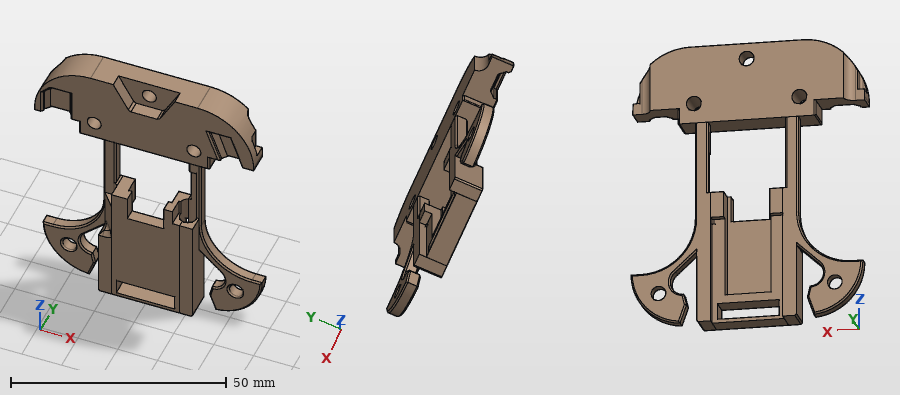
import cadquery as cq
import math

HALF_WIDTH = 27.5
TOTAL_HEIGHT = 67.3
CORNER_RADIUS = 14.05
CORNER_X = HALF_WIDTH - CORNER_RADIUS
EDGE_CHAMFER = 0.4
OVERCUT = 1.35
PICK_MARGIN = 0.1

HEAD_DEPTH = 7.95
HEAD_CORNER_Z = TOTAL_HEIGHT - CORNER_RADIUS
HEAD_SIDE_BOTTOM = 52.4
TAB_HALF_WIDTH = 16.35
UNDERSIDE_BEVEL = 0.3
TAB_BOTTOM = 48.65
TAB_CORNER_RISE = 0.4
TAB_CORNER_RUN = 0.2
SCREW_DIAMETER = 3.5
SCREW_SPOTS = [(0, 63.6), (-12.5, 53.4), (12.5, 53.4)]

NOTCH_TOP_HALF = 7.75
NOTCH_SIDE_HALF = 4.0
NOTCH_FLOOR_HALF = 3.3
NOTCH_FLOOR_Z = 60.2
NOTCH_CORNER_RISE = 0.4
NOTCH_DEPTH = 3.2

SCOOP_X = 22.95
SCOOP_DEPTH = 2.4
SCOOP_FILLET = SCOOP_DEPTH
SLOT_X = 25.8
SLOT_FLOOR_Z = 55.1
SLOT_FRONT = 5.5
SLOT_FILLET = 0.7

RECESS_TOP = 60.8
RECESS_WAIST_TOP = 60.4
RECESS_FLOOR_TOP = 59.5
RECESS_LIP = 0.5
RECESS_STEP_DEPTH = 1.1
RECESS_DEPTH = 2.3
RECESS_BOTTOM = HEAD_SIDE_BOTTOM
LEFT_MOUTH = [(-18.1, RECESS_BOTTOM), (-18.1, RECESS_TOP), (-23.7, RECESS_TOP),
              (-26.0, 58.45), (-26.0, RECESS_BOTTOM)]
LEFT_WAIST = [(-18.5, RECESS_BOTTOM), (-18.5, RECESS_WAIST_TOP), (-23.5, RECESS_WAIST_TOP),
              (-25.5, 58.3), (-25.5, RECESS_BOTTOM)]
LEFT_FLOOR = [(-19.6, RECESS_BOTTOM), (-19.6, RECESS_FLOOR_TOP), (-22.9, RECESS_FLOOR_TOP),
              (-24.4, 58.05), (-24.4, RECESS_BOTTOM)]
RIGHT_MOUTH = [(18.65, RECESS_BOTTOM), (15.55, RECESS_TOP), (21.8, RECESS_TOP), (24.8, RECESS_BOTTOM)]
RIGHT_WAIST = [(19.05, RECESS_BOTTOM), (16.1, RECESS_WAIST_TOP), (21.5, RECESS_WAIST_TOP), (24.4, RECESS_BOTTOM)]
RIGHT_FLOOR = [(20.05, RECESS_BOTTOM), (17.6, RECESS_FLOOR_TOP), (20.7, RECESS_FLOOR_TOP),
               (23.2, RECESS_BOTTOM)]

ARM_DEPTH = 3.1
RAIL_OUTER_X = 12.25
RAIL_INNER_X = 9.15
BEND_RADIUS = 12.7
BEND_Z = 25.3
BEND_X = RAIL_OUTER_X + BEND_RADIUS
WING_TOP = BEND_Z - BEND_RADIUS
WING_RADIUS = WING_TOP
WING_CENTER_X = HALF_WIDTH - WING_RADIUS
WING_FOOT_X = 15.9
WING_TOE = (14.3, 4.4)
HOOK_RADIUS = 3.1
HOOK_CENTER = (15.1, 10.15)
HOOK_START = (15.0, 7.05)
HOOK_END = (16.9, 12.65)
BRACE_END = (10.1, 18.85)
WING_HOLE_DIAMETER = 3.4
WING_HOLE_SPOT = (20.9, 7.55)
FUNNEL_DIAMETER = 4.2
FUNNEL_DEPTH = 0.7

BLOCK_FRONT = 7.05
STRIP_OUTER_X = 11.85
STRIP_INNER_X = 8.55
SHOULDER_Z = 27.65
TOWER_TOP = 31.4
STRIP_FILLET = 1.0
BEVEL_FLOOR_Z = 18.5
BEVEL_FILLET = 1.1
BEVEL_LIP = 1.0

CHANNEL_RADIUS = 2.0
CHANNEL_CENTER_DEPTH = 3.5
CHANNEL_BOTTOM = 24.2
CHANNEL_X = 9.2
CHANNEL_TOP = 41.6

BLOCK_PLATE = 5.25
BLOCK_BACK = BLOCK_FRONT - BLOCK_PLATE
GAP_HALF = 4.6
GAP_FLOOR_Z = 25.3
GAP_WEB = 2.9
CAVITY_HALF = 5.45
CAVITY_BOTTOM = 6.7
RIGHT_TOWER_X = 6.7
WINDOW_HALF = 7.3
WINDOW_BOTTOM = 0.9
WINDOW_TOP = 4.7


def box(x0, x1, depth0, depth1, z0, z1):
    """Box between two X values, two depths in front of the back plane and two heights."""
    return cq.Workplane("XY").box(x1 - x0, depth1 - depth0, z1 - z0, centered=False).translate(
        (x0, -depth1, z0)
    )


def at_depth(depth):
    """XZ workplane that lies `depth` in front of the back plane and faces the front."""
    return cq.Workplane("XZ", origin=(0, -depth, 0))


def mirrored(shape):
    return shape.mirror("YZ")


def head_blank():
    mid = CORNER_RADIUS * math.sqrt(0.5)
    outline = (
        at_depth(0)
        .moveTo(-CORNER_X, TOTAL_HEIGHT)
        .lineTo(CORNER_X, TOTAL_HEIGHT)
        .threePointArc((CORNER_X + mid, HEAD_CORNER_Z + mid), (HALF_WIDTH, HEAD_CORNER_Z))
        .lineTo(HALF_WIDTH, HEAD_SIDE_BOTTOM)
        .lineTo(-HALF_WIDTH, HEAD_SIDE_BOTTOM)
        .lineTo(-HALF_WIDTH, HEAD_CORNER_Z)
        .threePointArc((-CORNER_X - mid, HEAD_CORNER_Z + mid), (-CORNER_X, TOTAL_HEIGHT))
        .close()
    )
    return outline.extrude(HEAD_DEPTH)


def head_tab():
    tab = box(-TAB_HALF_WIDTH, TAB_HALF_WIDTH, 0, HEAD_DEPTH, TAB_BOTTOM, HEAD_SIDE_BOTTOM + OVERCUT)
    tab = tab.faces("<Y").edges("<Z or |Z").chamfer(EDGE_CHAMFER)
    tab = tab.faces(">Y").edges("|Z").chamfer(EDGE_CHAMFER)
    return tab.faces("<Z").edges("<X or >X").chamfer(TAB_CORNER_RISE, TAB_CORNER_RUN)


def top_notch():
    corner_z = NOTCH_FLOOR_Z + NOTCH_CORNER_RISE
    right_side = [(NOTCH_FLOOR_HALF, NOTCH_FLOOR_Z), (NOTCH_SIDE_HALF, corner_z), (NOTCH_TOP_HALF, TOTAL_HEIGHT)]
    left_side = [(-x, z) for x, z in reversed(right_side)]
    return at_depth(HEAD_DEPTH - NOTCH_DEPTH).polyline(right_side + left_side).close().extrude(NOTCH_DEPTH)


def finger_scoop():
    scoop = box(SCOOP_X, HALF_WIDTH + OVERCUT, -OVERCUT, SCOOP_DEPTH, TAB_BOTTOM, TOTAL_HEIGHT)
    return scoop.edges("|Z and <X and <Y").fillet(SCOOP_FILLET)


def side_slot():
    slot = box(SLOT_X, HALF_WIDTH + OVERCUT, 0, SLOT_FRONT, SLOT_FLOOR_Z, TOTAL_HEIGHT)
    return slot.edges("|Z and <X and <Y").fillet(SLOT_FILLET)


def tapered_cut(back_outline, back_depth, front_outline, front_depth):
    return (
        at_depth(back_depth)
        .polyline(back_outline)
        .close()
        .workplane(offset=front_depth - back_depth)
        .polyline(front_outline)
        .close()
        .loft(ruled=True)
    )


def front_recess(mouth, waist, floor):
    """Flared mouth, a short straight wall, then sloped walls down to the floor."""
    lip = HEAD_DEPTH - RECESS_LIP
    step = HEAD_DEPTH - RECESS_STEP_DEPTH
    flare = tapered_cut(waist, lip, mouth, HEAD_DEPTH)
    straight = tapered_cut(waist, step, waist, lip)
    sloped = tapered_cut(floor, HEAD_DEPTH - RECESS_DEPTH, waist, step)
    return flare.union(straight).union(sloped)


def bevel_underside(head):
    """Bevel the lower edges of the recess floors and of the front beside the tab."""
    reach = abs(LEFT_FLOOR[-1][0])
    deepest = HEAD_DEPTH - RECESS_DEPTH
    for x0, x1 in ((-reach, -TAB_HALF_WIDTH), (TAB_HALF_WIDTH, reach)):
        under = cq.selectors.BoxSelector(
            (x0, -HEAD_DEPTH - OVERCUT, HEAD_SIDE_BOTTOM - PICK_MARGIN),
            (x1, -deepest + PICK_MARGIN, HEAD_SIDE_BOTTOM + PICK_MARGIN),
        )
        head = head.edges("|X").edges(under).chamfer(UNDERSIDE_BEVEL)
    return head


def make_head():
    head = head_blank().union(head_tab())
    head = head.cut(top_notch())
    head = head.cut(at_depth(0).pushPoints(SCREW_SPOTS).circle(SCREW_DIAMETER / 2).extrude(HEAD_DEPTH))
    for corner_cut in (finger_scoop(), side_slot()):
        head = head.cut(corner_cut).cut(mirrored(corner_cut))
    head = head.cut(front_recess(LEFT_MOUTH, LEFT_WAIST, LEFT_FLOOR))
    head = head.cut(front_recess(RIGHT_MOUTH, RIGHT_WAIST, RIGHT_FLOOR))
    return bevel_underside(head)


def arm_blank():
    mid = math.sqrt(0.5)
    foot_z = WING_RADIUS - math.sqrt(WING_RADIUS**2 - (WING_FOOT_X - WING_CENTER_X) ** 2)
    rail_end = TAB_BOTTOM + OVERCUT
    outline = (
        at_depth(0)
        .moveTo(RAIL_INNER_X, rail_end)
        .lineTo(RAIL_OUTER_X, rail_end)
        .lineTo(RAIL_OUTER_X, BEND_Z)
        .threePointArc((BEND_X - BEND_RADIUS * mid, BEND_Z - BEND_RADIUS * mid), (BEND_X, WING_TOP))
        .lineTo(HALF_WIDTH, WING_TOP)
        .threePointArc(
            (WING_CENTER_X + WING_RADIUS * mid, WING_RADIUS * (1 - mid)), (WING_FOOT_X, foot_z)
        )
        .lineTo(*WING_TOE)
        .lineTo(*HOOK_START)
        .threePointArc((HOOK_CENTER[0] + HOOK_RADIUS, HOOK_CENTER[1]), HOOK_END)
        .lineTo(*BRACE_END)
        .lineTo(RAIL_INNER_X, BRACE_END[1])
        .close()
    )
    arm = outline.extrude(ARM_DEPTH).faces("<Y or >Y").chamfer(EDGE_CHAMFER)
    above_head_joint = box(0, HALF_WIDTH, 0, ARM_DEPTH, TAB_BOTTOM, rail_end)
    return arm.cut(above_head_joint)


def wing_hole():
    """Through hole whose front mouth widens upward into a funnel."""
    x, z = WING_HOLE_SPOT
    hole = at_depth(0).center(x, z).circle(WING_HOLE_DIAMETER / 2).extrude(ARM_DEPTH)
    rise = (FUNNEL_DIAMETER - WING_HOLE_DIAMETER) / 2
    funnel = (
        at_depth(ARM_DEPTH - FUNNEL_DEPTH)
        .center(x, z)
        .circle(WING_HOLE_DIAMETER / 2)
        .workplane(offset=FUNNEL_DEPTH)
        .center(0, rise)
        .circle(FUNNEL_DIAMETER / 2)
        .loft()
    )
    return hole.union(funnel)


def side_strip():
    strip = box(STRIP_INNER_X, STRIP_OUTER_X, 0, BLOCK_FRONT, 0, SHOULDER_Z)
    strip = strip.edges("|Y and >X and <Z").chamfer(EDGE_CHAMFER)
    return strip.union(box(STRIP_INNER_X, STRIP_OUTER_X, 0, ARM_DEPTH, SHOULDER_Z, TOWER_TOP))


def plain_arm():
    return arm_blank().union(side_strip(), clean=False).cut(wing_hole())


def tower_cove():
    """Concave corner piece between the front of the left rail and the side of its tower."""
    cove = box(STRIP_INNER_X, STRIP_INNER_X + STRIP_FILLET, ARM_DEPTH, ARM_DEPTH + STRIP_FILLET,
               SHOULDER_Z, TOWER_TOP)
    hollow = (
        cq.Workplane("XY", origin=(STRIP_INNER_X + STRIP_FILLET, -ARM_DEPTH - STRIP_FILLET, SHOULDER_Z))
        .circle(STRIP_FILLET)
        .extrude(TOWER_TOP - SHOULDER_Z)
    )
    return cove.cut(hollow)


def strip_bevel():
    """Slanting cut across the front corner of the left strip, with a rounded lower end."""
    run = STRIP_OUTER_X - STRIP_INNER_X
    rise = BLOCK_FRONT - ARM_DEPTH
    cutter = (
        cq.Workplane("XY", origin=(0, 0, BEVEL_FLOOR_Z))
        .moveTo(STRIP_INNER_X - run, -BLOCK_FRONT - rise)
        .lineTo(STRIP_OUTER_X + run, -ARM_DEPTH + rise)
        .lineTo(STRIP_OUTER_X + run, -BLOCK_FRONT - rise)
        .close()
        .extrude(SHOULDER_Z - BEVEL_FLOOR_Z)
    )
    slant_middle = (STRIP_INNER_X + run / 2, -ARM_DEPTH - rise / 2, BEVEL_FLOOR_Z)
    lower_edge = cq.selectors.NearestToPointSelector(slant_middle)
    cutter = cutter.edges(lower_edge).fillet(BEVEL_FILLET)
    own_strip = box(STRIP_INNER_X, HALF_WIDTH, ARM_DEPTH, BLOCK_FRONT, BEVEL_FLOOR_Z, SHOULDER_Z)
    return cutter.intersect(own_strip)


def channel():
    return (
        cq.Workplane("XY", origin=(CHANNEL_X, -CHANNEL_CENTER_DEPTH, CHANNEL_BOTTOM))
        .circle(CHANNEL_RADIUS)
        .extrude(CHANNEL_TOP - CHANNEL_BOTTOM)
    )


def make_left_arm():
    """Built on the +X side like its twin, then mirrored to the left."""
    arm = plain_arm().union(tower_cove(), clean=False).cut(strip_bevel())
    floor_edges = cq.selectors.BoxSelector(
        (STRIP_INNER_X, -BLOCK_FRONT - OVERCUT, BEVEL_FLOOR_Z - PICK_MARGIN),
        (STRIP_OUTER_X + OVERCUT, -ARM_DEPTH, BEVEL_FLOOR_Z + PICK_MARGIN),
    )
    arm = arm.edges("(|X and <Y) or (|Y)").edges(floor_edges).chamfer(BEVEL_LIP)
    return mirrored(arm)


def make_right_arm():
    return plain_arm().cut(channel())


def make_block():
    block = box(-STRIP_INNER_X, STRIP_INNER_X, BLOCK_BACK, BLOCK_FRONT, 0, TOWER_TOP)
    block = block.union(box(-STRIP_INNER_X, STRIP_INNER_X, 0, BLOCK_BACK, GAP_FLOOR_Z, TOWER_TOP))
    gap = box(-GAP_HALF, GAP_HALF, 0, BLOCK_FRONT, GAP_FLOOR_Z, TOWER_TOP)
    cavity = box(-CAVITY_HALF, CAVITY_HALF, 0, BLOCK_FRONT - GAP_WEB, CAVITY_BOTTOM, TOWER_TOP)
    right_shoulder = box(RIGHT_TOWER_X, STRIP_INNER_X, ARM_DEPTH, BLOCK_FRONT, SHOULDER_Z, TOWER_TOP)
    window = box(-WINDOW_HALF, WINDOW_HALF, 0, BLOCK_FRONT, WINDOW_BOTTOM, WINDOW_TOP)
    for opening in (gap, cavity, right_shoulder, window, channel()):
        block = block.cut(opening)
    return block


head = make_head()
left_arm = make_left_arm()
right_arm = make_right_arm()
block = make_block()
bodies = [head, left_arm, right_arm, block]
result = cq.Compound.makeCompound([body.solids().val() for body in bodies])